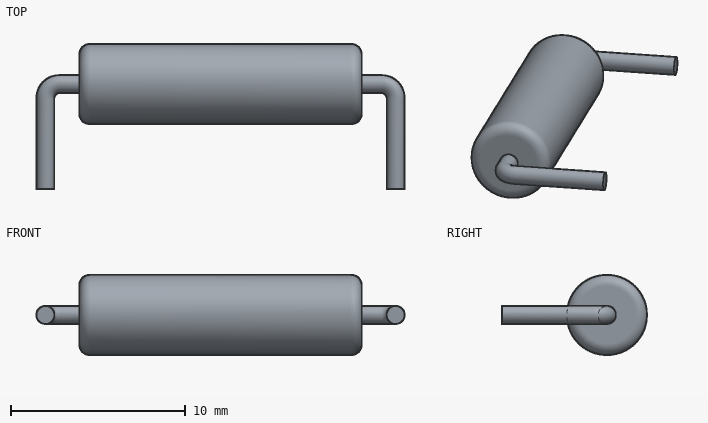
import cadquery as cq

body_length = 16.16
body_diameter = 4.6
body_edge_radius = 0.62

wire_diameter = 1.04
lead_pitch = 20.02
lead_reach = 6.0
bend_radius = 0.8


def make_body():
    """Cylinder with both end edges rounded."""
    end_plane = cq.Workplane("YZ", origin=(-body_length / 2, 0, 0))
    cylinder = end_plane.circle(body_diameter / 2).extrude(body_length)
    return cylinder.edges("%CIRCLE").fillet(body_edge_radius)


def make_wire():
    """One continuous wire along the body axis, bent at both ends to form the leads."""
    lead_x = lead_pitch / 2
    bend_start_x = lead_x - bend_radius
    path = (
        cq.Workplane("XY")
        .moveTo(-lead_x, -lead_reach)
        .lineTo(-lead_x, -bend_radius)
        .tangentArcPoint((-bend_start_x, 0), relative=False)
        .lineTo(bend_start_x, 0)
        .tangentArcPoint((lead_x, -bend_radius), relative=False)
        .lineTo(lead_x, -lead_reach)
    )
    tip_plane = cq.Workplane("XZ", origin=(-lead_x, -lead_reach, 0))
    return tip_plane.circle(wire_diameter / 2).sweep(path)


result = make_body().union(make_wire())